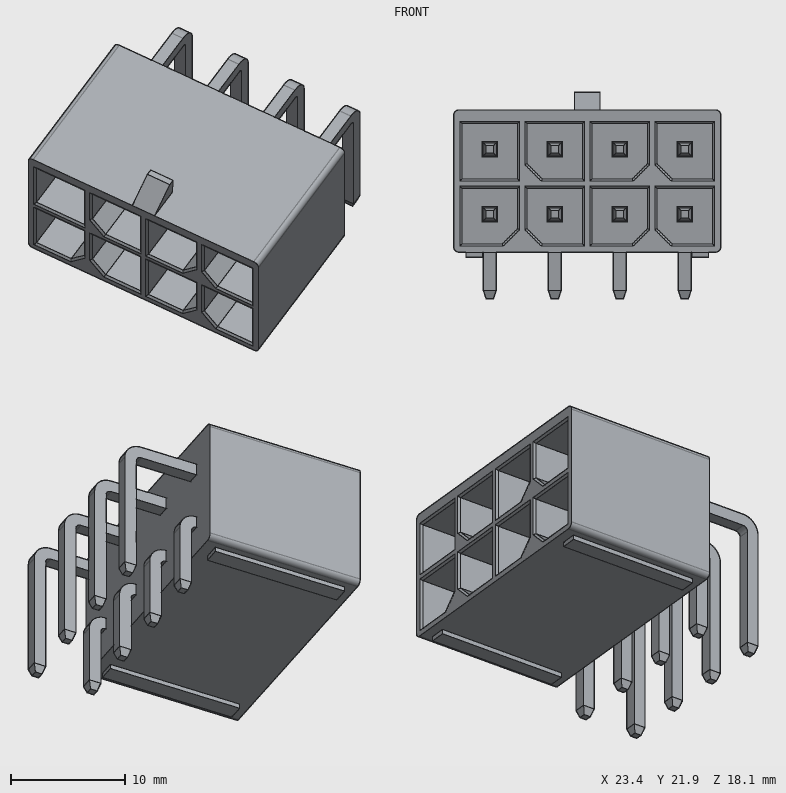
import cadquery as cq
import math


housing_width = 23.45
housing_depth = 14.87
housing_height = 12.5
corner_radius = 0.5

columns = 4
pitch = 5.7
column_positions = [(column - (columns - 1) / 2) * pitch for column in range(columns)]

cavity_size = 5.25
cavity_depth = 12.55
key_corner = 1.45
lead_in = 0.19
lower_cavity_z = 3.17
cavity_rows = [lower_cavity_z, lower_cavity_z + pitch]
cavity_keys = [[1, -1, 1, -1], [0, -1, 1, -1]]

ramp_width = 2.27
ramp_height = 1.55
ramp_base_length = 3.1
ramp_crest_back = 3.2
ramp_crest_front = 2.63

foot_span = 21.3
foot_width = 1.5
foot_height = 0.45
foot_front_y = 0.98
foot_length = 12.8

pin_size = 1.15
pin_above_cavity_centre = 0.16
pin_front_y = 4.7
leg_drop = 4.08
tip_length = 0.75
tip_size = 0.65
inner_bend_radius = 0.47
outer_bend_radius = inner_bend_radius + pin_size
tip_taper = math.degrees(math.atan2((pin_size - tip_size) / 2, tip_length))
pin_hole_chamfer = 0.1
leg_row_spacing = 5.46
lower_leg_back_y = housing_depth + outer_bend_radius
leg_backs = [lower_leg_back_y, lower_leg_back_y + leg_row_spacing]
pin_rows = [z + pin_above_cavity_centre for z in cavity_rows]


def make_block():
    block = cq.Workplane("XY").box(
        housing_width, housing_depth, housing_height, centered=(True, False, False)
    )
    return block.edges("|Y").fillet(corner_radius)


def make_ramp():
    """Locking ramp that rises from the front edge and has an undercut back."""
    crest_z = housing_height + ramp_height
    profile = [
        (0, housing_height),
        (ramp_crest_front, crest_z),
        (ramp_crest_back, crest_z),
        (ramp_base_length, housing_height),
    ]
    return cq.Workplane("YZ").polyline(profile).close().extrude(ramp_width / 2, both=True)


def make_foot(side):
    foot = cq.Workplane("XY").box(foot_width, foot_length, foot_height, centered=(True, False, False))
    return foot.translate((side * (foot_span - foot_width) / 2, foot_front_y, -foot_height))


def make_cavity(x, z, key):
    """Keyed cavity with a 45 degree lead-in at its mouth, as a solid to cut away."""
    half = cavity_size / 2
    if key:
        outline = [
            (-key * half, half),
            (-key * half, -half),
            (key * (half - key_corner), -half),
            (key * half, key_corner - half),
            (key * half, half),
        ]
    else:
        outline = [(-half, half), (-half, -half), (half, -half), (half, half)]
    mouth = cq.Workplane("XZ").polyline(outline).close().extrude(-lead_in, taper=45)
    bore = mouth.faces(">Y").wires().toPending().workplane().extrude(cavity_depth - lead_in)
    return bore.translate((x, 0, z))


def make_countersink(x, z):
    """Shallow square funnel around a pin where it leaves the cavity floor, as a solid to cut away."""
    mouth_size = pin_size + 2 * pin_hole_chamfer
    funnel = cq.Workplane("XZ").rect(mouth_size, mouth_size).extrude(-pin_hole_chamfer, taper=45)
    return funnel.translate((x, cavity_depth, z))


def make_tip(plane):
    """Tapered square pin end that points along the plane's normal."""
    return cq.Workplane(plane).rect(pin_size, pin_size).extrude(tip_length, taper=tip_taper)


def make_pin(x, z, leg_back_y):
    """Square pin that runs back from the cavity and bends down into a solder leg."""
    half = pin_size / 2
    top = z + half
    leg_front_y = leg_back_y - pin_size
    bend_y = leg_back_y - outer_bend_radius
    bend_z = top - outer_bend_radius
    shaft_front_y = pin_front_y + tip_length
    leg_bottom_z = tip_length - leg_drop
    diagonal = math.sqrt(0.5)
    outer_middle = (bend_y + outer_bend_radius * diagonal, bend_z + outer_bend_radius * diagonal)
    inner_middle = (bend_y + inner_bend_radius * diagonal, bend_z + inner_bend_radius * diagonal)
    shaft = (
        cq.Workplane("YZ")
        .moveTo(shaft_front_y, top)
        .lineTo(bend_y, top)
        .threePointArc(outer_middle, (leg_back_y, bend_z))
        .lineTo(leg_back_y, leg_bottom_z)
        .lineTo(leg_front_y, leg_bottom_z)
        .lineTo(leg_front_y, bend_z)
        .threePointArc(inner_middle, (bend_y, top - pin_size))
        .lineTo(shaft_front_y, top - pin_size)
        .close()
        .extrude(half, both=True)
    )
    mating_tip = make_tip("XZ").translate((0, shaft_front_y, z))
    solder_tip = make_tip(cq.Plane((0, 0, 0), (1, 0, 0), (0, 0, -1)))
    solder_tip = solder_tip.translate((0, leg_back_y - half, leg_bottom_z))
    return shaft.union(mating_tip).union(solder_tip).translate((x, 0, 0))


def make_housing(pins):
    housing = make_block().union(make_ramp())
    for side in (-1, 1):
        housing = housing.union(make_foot(side))
    for z, row_keys in zip(cavity_rows, cavity_keys):
        for x, key in zip(column_positions, row_keys):
            housing = housing.cut(make_cavity(x, z, key))
    for z in pin_rows:
        for x in column_positions:
            housing = housing.cut(make_countersink(x, z))
    for pin in pins:
        housing = housing.cut(pin)
    return housing


pins = [
    make_pin(x, z, leg_back_y)
    for z, leg_back_y in zip(pin_rows, leg_backs)
    for x in column_positions
]
housing = make_housing(pins)
result = cq.Compound.makeCompound([housing.val(), *[pin.val() for pin in pins]])